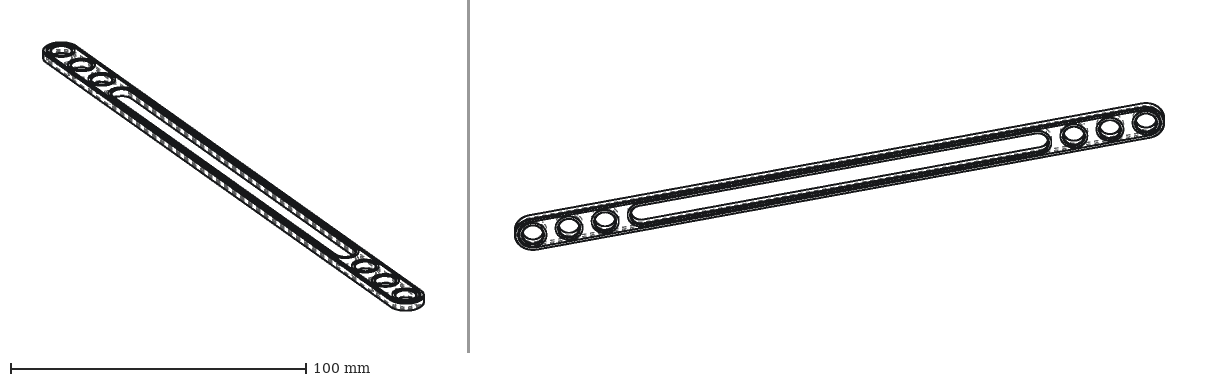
import cadquery as cq

length = 225.0
thickness = 3.2
pitch_count = 18
holes_per_end = 3
hole_diameter = 7.0
hole_rim_diameter = 9.2
outer_rim_width = 1.1
recess_depth = 0.2
edge_chamfer = 0.32

pitch = length / pitch_count
width = pitch
end_hole_x = (length - width) / 2
slot_center_distance = 2 * (end_hole_x - holes_per_end * pitch)
web_thickness = thickness - 2 * recess_depth
hole_positions = [
    (side * (end_hole_x - index * pitch), 0)
    for side in (-1, 1)
    for index in range(holes_per_end)
]


def round_ended_bar(bar_length, bar_width, bar_thickness):
    """Flat bar with fully rounded ends, centred on the origin."""
    return cq.Workplane("XY").slot2D(bar_length, bar_width).extrude(bar_thickness / 2, both=True)


def openings(diameter):
    """Cylinders at the holes plus a bar of the same width at the central slot."""
    cylinders = cq.Workplane("XY").pushPoints(hole_positions).circle(diameter / 2)
    slot = round_ended_bar(slot_center_distance + diameter, diameter, thickness)
    return cylinders.extrude(thickness / 2, both=True).union(slot)


def web_recesses():
    """Shallow pockets in both faces, leaving rims along the outline and around the openings."""
    inside_border = round_ended_bar(length - 2 * outer_rim_width, width - 2 * outer_rim_width, thickness)
    web = round_ended_bar(length, width, web_thickness)
    return inside_border.cut(openings(hole_rim_diameter)).cut(web)


plain_bar = round_ended_bar(length, width, thickness).cut(openings(hole_diameter))
bevelled_bar = plain_bar.faces("|Z").edges().chamfer(edge_chamfer)

result = bevelled_bar.cut(web_recesses())